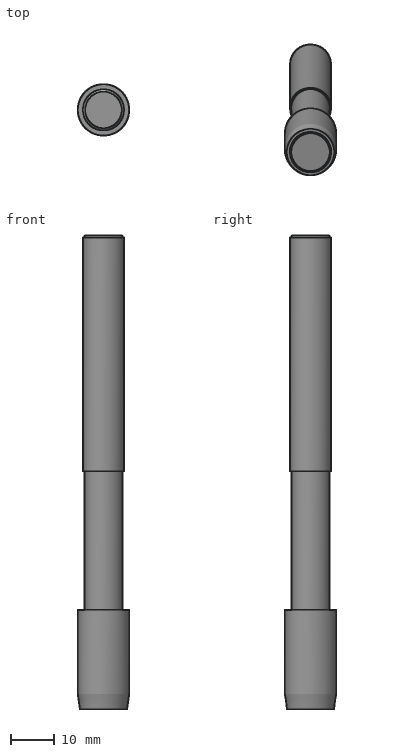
import cadquery as cq

TOTAL_LENGTH = 110.0
SLEEVE_LENGTH = 23.1
TAPER_HEIGHT = 3.5
SHOULDER_HEIGHT = 55.2

SLEEVE_DIAMETER = 12.0
TAPER_END_DIAMETER = 11.0
ROD_DIAMETER = 9.6
NECK_DIAMETER = 8.9
BORE_DIAMETER = ROD_DIAMETER

ROD_CHAMFER_WIDTH = 0.5
ROD_CHAMFER_HEIGHT = 0.5


def revolve_profile(points):
    """Revolve a closed (radius, height) profile about the Z axis."""
    return cq.Workplane("XZ").polyline(points).close().revolve(360, (0, 0, 0), (0, 1, 0))


def make_rod():
    """Stepped rod: a slim neck running through the sleeve and a thicker shank above it."""
    neck_radius = NECK_DIAMETER / 2
    rod_radius = ROD_DIAMETER / 2
    return revolve_profile([
        (0, 0),
        (neck_radius, 0),
        (neck_radius, SHOULDER_HEIGHT),
        (rod_radius, SHOULDER_HEIGHT),
        (rod_radius, TOTAL_LENGTH - ROD_CHAMFER_HEIGHT),
        (rod_radius - ROD_CHAMFER_WIDTH, TOTAL_LENGTH),
        (0, TOTAL_LENGTH),
    ])


def make_sleeve():
    """Sleeve around the neck, tapered outside at the bottom, with a plain through bore."""
    bore_radius = BORE_DIAMETER / 2
    outer_radius = SLEEVE_DIAMETER / 2
    return revolve_profile([
        (bore_radius, 0),
        (TAPER_END_DIAMETER / 2, 0),
        (outer_radius, TAPER_HEIGHT),
        (outer_radius, SLEEVE_LENGTH),
        (bore_radius, SLEEVE_LENGTH),
    ])


rod = make_rod()
sleeve = make_sleeve()

result = cq.Compound.makeCompound([rod.val(), sleeve.val()])